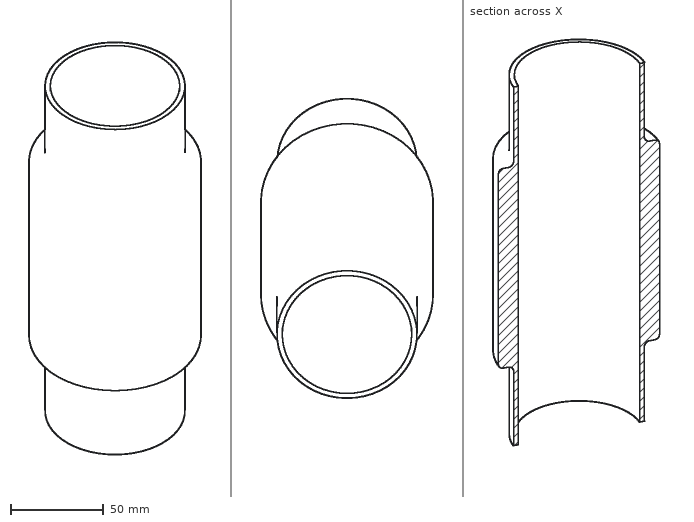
import cadquery as cq

total_length = 226.0
body_length = 126.0
body_diameter = 93.7
pipe_diameter = 76.1
pipe_wall = 2.9
edge_radius = 3.0

bore_diameter = pipe_diameter - 2 * pipe_wall
body_bottom = (total_length - body_length) / 2


def tube(diameter, bottom, length):
    """Solid cylinder on the Z axis, starting at the given height."""
    return cq.Workplane("XY").workplane(offset=bottom).circle(diameter / 2).extrude(length)


def rounded_body():
    """Thick middle section with both outer rims rounded."""
    return tube(body_diameter, body_bottom, body_length).edges().fillet(edge_radius)


def root_edges(blank):
    """Circles where the pipe meets the two shoulders of the body."""
    margin = 0.1
    reach = pipe_diameter / 2 + margin
    selector = cq.selectors.BoxSelector(
        (-reach, -reach, body_bottom - margin),
        (reach, reach, body_bottom + body_length + margin),
        boundingbox=True,
    )
    return blank.edges(selector)


def coupling():
    """Pipe with a rounded body around its middle, filleted roots and a through bore."""
    blank = tube(pipe_diameter, 0, total_length).union(rounded_body())
    filleted = root_edges(blank).fillet(edge_radius)
    return filleted.cut(tube(bore_diameter, 0, total_length))


result = coupling()